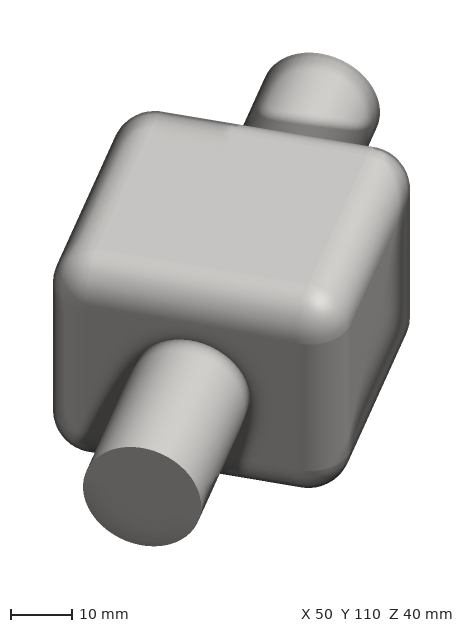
import cadquery as cq

body_width = 50.0
body_length = 50.0
body_height = 40.0
edge_radius = 7.0

shaft_diameter = 20.0
shaft_length = 110.0

pin_diameter = 3.0
pin_pitch = 9.0
pins_per_side = 3
pin_depth = 5.5


def make_body():
    """Block with every edge rounded."""
    return cq.Workplane("XY").box(body_width, body_length, body_height).edges().fillet(edge_radius)


def make_shaft():
    """Cylinder along Y, projecting equally from both ends of the body."""
    return cq.Workplane("XZ").circle(shaft_diameter / 2).extrude(shaft_length / 2, both=True)


def make_pins():
    """Grid of pins sunk into the body, their ends level with the top face."""
    return (
        cq.Workplane("XY", origin=(0, 0, body_height / 2))
        .rarray(pin_pitch, pin_pitch, pins_per_side, pins_per_side)
        .circle(pin_diameter / 2)
        .extrude(-pin_depth)
    )


result = make_body().union(make_shaft()).union(make_pins(), clean=False)